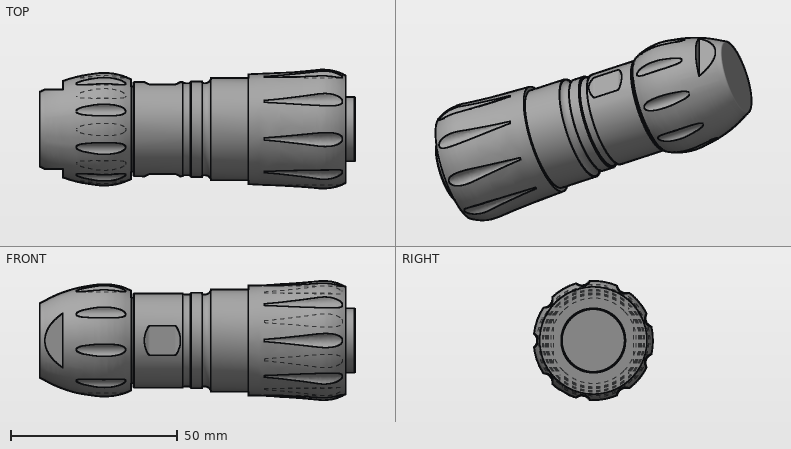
import cadquery as cq
import math

TOTAL_LENGTH = 94.9

RIM_FACE_RADIUS = 10.8
RIM_RADIUS = 11.4
RIM_ROUND_MID = (0.12, 11.22)
RIM_ROUND_END = 0.4
RIM_BAND_END = 1.5
RIM_BAND_RADIUS = 11.95
NUT_CONE_MID = (7.0, 14.52)
NUT_CONE_END = (13.2, 16.22)
NUT_DOME_START = 16.3
NUT_CREST_X = 19.4
NUT_CREST_RADIUS = 16.97
NUT_DOME_CURVE = 17.8
NUT_END = 27.5
NUT_FLAT_OFFSET = 12.0
NUT_FLAT_END = 7.0

NECK_RADIUS = 25.7 / 2
BODY_START = 28.2
BODY_RADIUS = 28.4 / 2
BODY_CHAMFER = 0.3
BODY_END = 43.0
GROOVE_RADIUS = 27.7 / 2
COLLAR_START = 45.3
COLLAR_END = 48.8
COLLAR_RADIUS = 14.4
COLLAR_CHAMFER = 0.3
GROOVE_ONE_LOW_X = 44.3
GROOVE_ONE_CURVE = 8.0
GROOVE_TWO_LOW_X = 49.6
GROOVE_TWO_CURVE = 2.05

SLEEVE_START = 51.5
SLEEVE_RADIUS = 30.8 / 2
RING_START = 62.75

RING_START_RADIUS = 16.55
RING_FLARE_START = (72.3, 16.97)
RING_FLARE_MID = (79.1, 17.42)
RING_DOME_START = 83.1
RING_CREST_X = 85.2
RING_CREST_RADIUS = 17.97
RING_DOME_CURVE = 13.4
RING_END = 92.0
SPIGOT_RADIUS = 19.4 / 2
SPIGOT_CHAMFER = 0.3

WRENCH_FLAT_OFFSET = 13.5
WRENCH_FLAT_START = 33.2
WRENCH_FLAT_END = 40.6
WRENCH_RAMP_ANGLE = math.radians(27)
WRENCH_FILLET_RADIUS = 1.5

GRIP_COUNT = 9
GRIP_PITCH = 360 / GRIP_COUNT
NUT_GRIP_RADIUS = 4.25 / 2
NUT_GRIP_FLOOR = 15.75
NUT_GRIP_FIRST_ANGLE = -10
NUT_GRIP_START = 9.0
RING_GRIP_TIP_RADIUS = 0.55
RING_GRIP_RADIUS = 2.3
RING_GRIP_FLOOR = 16.65
RING_GRIP_START = 67.5
RING_GRIP_FIRST_ANGLE = 0

CLEARANCE = 5.0
WRENCH_CLEARANCE = 0.1


def dome_radius(x, crest_x, crest_radius, curve):
    """Outer radius at x of a dome whose meridian is an arc of radius `curve`."""
    return crest_radius - curve + math.sqrt(curve**2 - (x - crest_x) ** 2)


def nut_dome(x):
    return x, dome_radius(x, NUT_CREST_X, NUT_CREST_RADIUS, NUT_DOME_CURVE)


def ring_dome(x):
    return x, dome_radius(x, RING_CREST_X, RING_CREST_RADIUS, RING_DOME_CURVE)


def groove_radius(x, low_x, curve):
    """Radius at x of a groove whose meridian is a hollow arc of radius `curve`."""
    return GROOVE_RADIUS + curve - math.sqrt(curve**2 - (x - low_x) ** 2)


def groove_one(x):
    return x, groove_radius(x, GROOVE_ONE_LOW_X, GROOVE_ONE_CURVE)


def groove_two(x):
    return x, groove_radius(x, GROOVE_TWO_LOW_X, GROOVE_TWO_CURVE)


def make_turned_shape():
    """Revolve the (x, radius) outline about the X axis."""
    outline = (
        cq.Workplane("XY")
        .lineTo(0, RIM_FACE_RADIUS)
        .threePointArc(RIM_ROUND_MID, (RIM_ROUND_END, RIM_RADIUS))
        .lineTo(RIM_BAND_END, RIM_BAND_RADIUS)
        .threePointArc(NUT_CONE_MID, NUT_CONE_END)
        .lineTo(*nut_dome(NUT_DOME_START))
        .threePointArc(nut_dome(NUT_CREST_X), nut_dome(NUT_END))
        .lineTo(NUT_END, NECK_RADIUS)
        .lineTo(BODY_START, NECK_RADIUS)
        .lineTo(BODY_START, BODY_RADIUS - BODY_CHAMFER)
        .lineTo(BODY_START + BODY_CHAMFER, BODY_RADIUS)
        .lineTo(BODY_END, BODY_RADIUS)
        .lineTo(*groove_one(BODY_END))
        .threePointArc(groove_one(GROOVE_ONE_LOW_X), groove_one(COLLAR_START))
        .lineTo(COLLAR_START, COLLAR_RADIUS - COLLAR_CHAMFER)
        .lineTo(COLLAR_START + COLLAR_CHAMFER, COLLAR_RADIUS)
        .lineTo(COLLAR_END, COLLAR_RADIUS)
        .lineTo(*groove_two(COLLAR_END))
        .threePointArc(groove_two(GROOVE_TWO_LOW_X), groove_two(SLEEVE_START))
        .lineTo(SLEEVE_START, SLEEVE_RADIUS)
        .lineTo(RING_START, SLEEVE_RADIUS)
        .lineTo(RING_START, RING_START_RADIUS)
        .lineTo(*RING_FLARE_START)
        .lineTo(*RING_FLARE_MID)
        .lineTo(*ring_dome(RING_DOME_START))
        .threePointArc(ring_dome(RING_CREST_X), ring_dome(RING_END))
        .lineTo(RING_END, SPIGOT_RADIUS)
        .lineTo(TOTAL_LENGTH - SPIGOT_CHAMFER, SPIGOT_RADIUS)
        .lineTo(TOTAL_LENGTH, SPIGOT_RADIUS - SPIGOT_CHAMFER)
        .lineTo(TOTAL_LENGTH, 0)
        .close()
    )
    return outline.revolve(360, (0, 0, 0), (1, 0, 0))


def circle_across_x(x, radius, floor_radius):
    """Circular wire normal to X, resting on the floor at y = -floor_radius."""
    center = cq.Vector(x, -floor_radius - radius, 0)
    return cq.Wire.makeCircle(radius, center, cq.Vector(1, 0, 0))


def cut_all_round(part, cutter, first_angle):
    """Cut evenly spaced copies; angle 0 is -Y and positive turns towards +Z."""
    for index in range(GRIP_COUNT):
        angle = -(first_angle + index * GRIP_PITCH)
        part = part.cut(cutter.rotate((0, 0, 0), (1, 0, 0), angle))
    return part


def cut_nut_grips(part):
    """Oval grips: a straight round cutter parallel to X meeting the dome."""
    center = cq.Vector(NUT_GRIP_START, -NUT_GRIP_FLOOR - NUT_GRIP_RADIUS, 0)
    length = NUT_END + CLEARANCE - NUT_GRIP_START
    cutter = cq.Workplane(obj=cq.Solid.makeCylinder(NUT_GRIP_RADIUS, length, center, cq.Vector(1, 0, 0)))
    return cut_all_round(part, cutter, NUT_GRIP_FIRST_ANGLE)


def cut_ring_grips(part):
    """Teardrop grips: a level-floored cone that eases into a cylinder."""
    middle_x = (RING_GRIP_START + RING_DOME_START) / 2
    middle_radius = (RING_GRIP_TIP_RADIUS + RING_GRIP_RADIUS) / 2
    sections = [
        circle_across_x(RING_GRIP_START, RING_GRIP_TIP_RADIUS, RING_GRIP_FLOOR),
        circle_across_x(middle_x, middle_radius, RING_GRIP_FLOOR),
        circle_across_x(RING_DOME_START, RING_GRIP_RADIUS, RING_GRIP_FLOOR),
        circle_across_x(RING_END + CLEARANCE, RING_GRIP_RADIUS, RING_GRIP_FLOOR),
    ]
    cutter = cq.Workplane(obj=cq.Solid.makeLoft(sections))
    return cut_all_round(part, cutter, RING_GRIP_FIRST_ANGLE)


def cut_nut_flats(part):
    """Two flats across Y at the cable end of the nut."""
    depth = NUT_CREST_RADIUS + CLEARANCE - NUT_FLAT_OFFSET
    height = 2 * NUT_CREST_RADIUS
    for side in (-1, 1):
        cutter = cq.Workplane("XY").box(NUT_FLAT_END, depth, height, centered=(False, True, True))
        part = part.cut(cutter.translate((0, side * (NUT_FLAT_OFFSET + depth / 2), 0)))
    return part


def cut_wrench_flats(part):
    """Two shallow flats across Y on the body, each end a fillet and a sloping ramp."""

    def fillet_point(angle):
        """Run in X and rise in Y along the fillet, at a given slope angle."""
        run = WRENCH_FILLET_RADIUS * math.sin(angle)
        rise = WRENCH_FILLET_RADIUS * (1 - math.cos(angle))
        return run, rise

    mid_run, mid_rise = fillet_point(WRENCH_RAMP_ANGLE / 2)
    fillet_run, fillet_rise = fillet_point(WRENCH_RAMP_ANGLE)
    ramp_rise = BODY_RADIUS + WRENCH_CLEARANCE - WRENCH_FLAT_OFFSET - fillet_rise
    ramp_run = ramp_rise / math.tan(WRENCH_RAMP_ANGLE)
    top = WRENCH_FLAT_OFFSET + fillet_rise + ramp_rise
    cutter = (
        cq.Workplane("XY")
        .moveTo(WRENCH_FLAT_START - fillet_run - ramp_run, top)
        .lineTo(WRENCH_FLAT_START - fillet_run, WRENCH_FLAT_OFFSET + fillet_rise)
        .threePointArc(
            (WRENCH_FLAT_START - mid_run, WRENCH_FLAT_OFFSET + mid_rise),
            (WRENCH_FLAT_START, WRENCH_FLAT_OFFSET),
        )
        .lineTo(WRENCH_FLAT_END, WRENCH_FLAT_OFFSET)
        .threePointArc(
            (WRENCH_FLAT_END + mid_run, WRENCH_FLAT_OFFSET + mid_rise),
            (WRENCH_FLAT_END + fillet_run, WRENCH_FLAT_OFFSET + fillet_rise),
        )
        .lineTo(WRENCH_FLAT_END + fillet_run + ramp_run, top)
        .close()
        .extrude(BODY_RADIUS, both=True)
    )
    return part.cut(cutter).cut(cutter.mirror("XZ"))


result = make_turned_shape()
result = cut_nut_flats(result)
result = cut_wrench_flats(result)
result = cut_nut_grips(result)
result = cut_ring_grips(result)